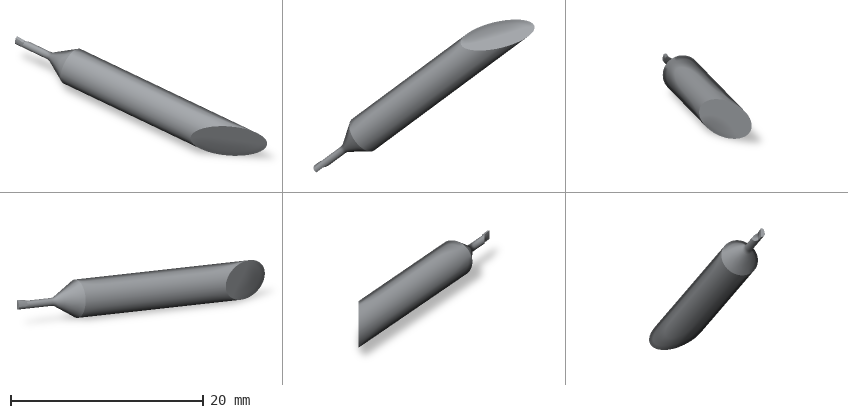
import cadquery as cq
import math

total_length = 30.71
shank_radius = 2.0
end_cut_angle = math.radians(30)

neck_radius = 0.415
neck_end = 4.03
neck_drop = 0.045
blend_radius = 1.0
cone_half_angle = math.radians(30)

head_length = 1.0
head_tip_height = 0.575
head_top_fall = 0.09
head_land_width = 0.25
head_land_drop = 0.08
head_side_bulge = 0.03
head_side_end_angle = math.radians(190)
head_bottom_angle = math.radians(270)
flat_runout_angle = math.radians(30)


def make_shank():
    """Round bar whose rear end is cut off obliquely, leaving the +Y side longest."""
    bar = cq.Workplane("YZ").circle(shank_radius).extrude(total_length)
    cut_length = 2 * shank_radius / math.tan(end_cut_angle)
    side_outline = (
        cq.Workplane("XY")
        .moveTo(0, -shank_radius)
        .lineTo(total_length - cut_length, -shank_radius)
        .lineTo(total_length, shank_radius)
        .lineTo(0, shank_radius)
        .close()
        .extrude(shank_radius, both=True)
    )
    return bar.intersect(side_outline)


def make_neck_envelope():
    """Neck, tangent blend and cone, widened past the shank and running to its rear end."""
    blend_end = neck_end + blend_radius * math.sin(cone_half_angle)
    blend_end_radius = neck_radius + blend_radius * (1 - math.cos(cone_half_angle))
    blend_middle = neck_end + blend_radius * math.sin(cone_half_angle / 2)
    blend_middle_radius = neck_radius + blend_radius * (1 - math.cos(cone_half_angle / 2))
    outer_radius = 2 * shank_radius
    cone_end = blend_end + (outer_radius - blend_end_radius) / math.tan(cone_half_angle)
    return (
        cq.Workplane("XZ")
        .lineTo(0, neck_radius)
        .lineTo(neck_end, neck_radius)
        .threePointArc((blend_middle, blend_middle_radius), (blend_end, blend_end_radius))
        .lineTo(cone_end, outer_radius)
        .lineTo(total_length, outer_radius)
        .lineTo(total_length, 0)
        .close()
        .revolve(360, (0, 0, 0), (1, 0, 0))
        .translate((0, 0, -neck_drop))
    )


def make_front_relief():
    """Space cleared for the head, with an oblique run-out on the +Y half of the neck."""
    relief_height = shank_radius
    runout_length = relief_height / math.tan(flat_runout_angle)
    return (
        cq.Workplane("XY")
        .moveTo(0, -shank_radius)
        .lineTo(head_length, -shank_radius)
        .lineTo(head_length, 0)
        .lineTo(head_length + runout_length, relief_height)
        .lineTo(0, relief_height)
        .close()
        .extrude(shank_radius, both=True)
    )


def land_waste_outline(plane, ridge_height):
    """Draw the area above the sloping top land, whose inner edge is at the given height."""
    side_drop = shank_radius * head_land_drop / head_land_width
    return (
        plane.moveTo(0, ridge_height)
        .lineTo(-shank_radius, ridge_height - side_drop)
        .lineTo(-shank_radius, shank_radius)
        .lineTo(0, shank_radius)
        .close()
    )


def make_head():
    """Half-round cutting head with a sloping top land and a bulged clearance side."""
    land_edge = (-head_land_width, head_tip_height - head_land_drop)
    side_end = (
        neck_radius * math.cos(head_side_end_angle),
        neck_radius * math.sin(head_side_end_angle),
    )
    neck_arc_middle_angle = (head_side_end_angle + head_bottom_angle) / 2
    neck_arc_middle = (
        neck_radius * math.cos(neck_arc_middle_angle),
        neck_radius * math.sin(neck_arc_middle_angle),
    )
    blank = (
        cq.Workplane("YZ")
        .lineTo(0, head_tip_height)
        .lineTo(*land_edge)
        .sagittaArc(side_end, -head_side_bulge)
        .threePointArc(neck_arc_middle, (0, -neck_radius))
        .close()
        .extrude(head_length)
    )
    front = land_waste_outline(cq.Workplane("YZ"), head_tip_height)
    rear_plane = front.workplane(offset=head_length)
    rear = land_waste_outline(rear_plane, head_tip_height - head_top_fall)
    top_waste = rear.loft(ruled=True)
    return blank.cut(top_waste).translate((0, 0, -neck_drop))


body = make_shank().intersect(make_neck_envelope()).cut(make_front_relief())
result = body.union(make_head())